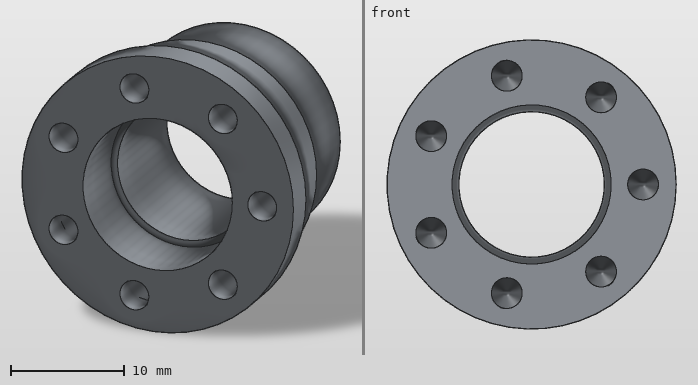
import cadquery as cq
import math

flange_diameter = 25.4
flange_thickness = 3.175
body_diameter = 22.352
body_length = 6.858
tube_diameter = 19.685
total_length = 19.685

front_bore_diameter = 13.97
front_bore_depth = 7.14
rear_bore_diameter = 12.75

hole_count = 7
hole_diameter = 2.7
hole_depth = 6.35
hole_circle_diameter = 19.56
hole_tip_angle = 118.0


def cylinder(diameter, length):
    """Cylinder along +Y starting at the front face."""
    return cq.Workplane("XZ").circle(diameter / 2).extrude(-length)


def drilled_hole():
    """Round hole along +Y with a conical drill tip beyond its full-diameter depth."""
    radius = hole_diameter / 2
    tip_length = radius / math.tan(math.radians(hole_tip_angle / 2))
    half_section = (
        cq.Workplane("XY")
        .lineTo(radius, 0)
        .lineTo(radius, hole_depth)
        .lineTo(0, hole_depth + tip_length)
        .close()
    )
    return half_section.revolve(360, (0, 0, 0), (0, 1, 0))


def stepped_outside():
    """Tube, body and flange stacked on one axis."""
    tube = cylinder(tube_diameter, total_length)
    body = cylinder(body_diameter, flange_thickness + body_length)
    flange = cylinder(flange_diameter, flange_thickness)
    return tube.union(body).union(flange)


def stepped_bore():
    """Through bore with a slightly wider section at the flange end."""
    rear_bore = cylinder(rear_bore_diameter, total_length)
    front_bore = cylinder(front_bore_diameter, front_bore_depth)
    return rear_bore.union(front_bore)


def hole_ring():
    """Equally spaced holes, the first one on the +X side."""
    first_hole = drilled_hole().translate((hole_circle_diameter / 2, 0, 0))
    ring = cq.Workplane("XY")
    for index in range(hole_count):
        angle = index * 360 / hole_count
        ring = ring.add(first_hole.rotate((0, 0, 0), (0, 1, 0), angle))
    return ring.combine()


result = stepped_outside().cut(stepped_bore()).cut(hole_ring())